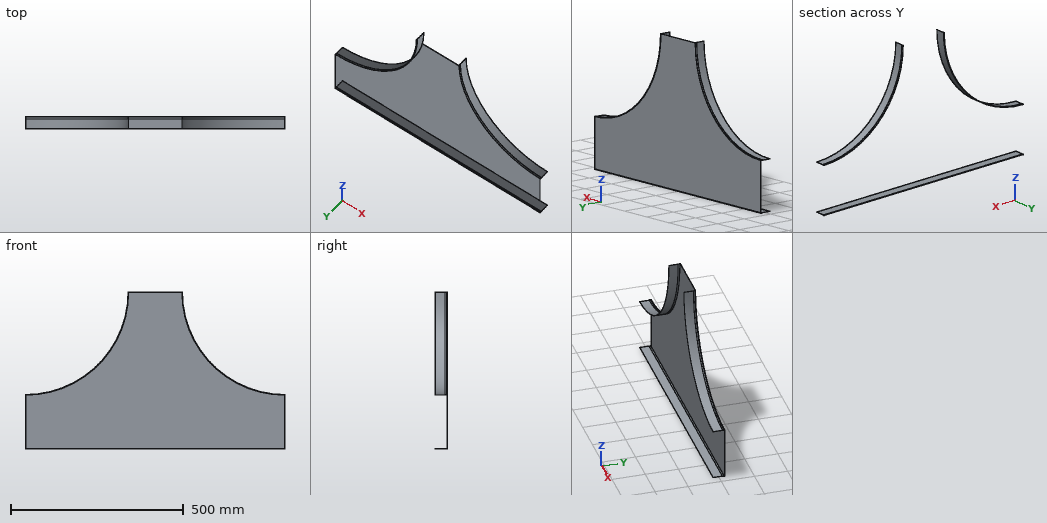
import cadquery as cq

length = 750.0
height = 454.5
depth = 35.0
curve_radius = 296.0
sheet = 1.0
rail_thickness = 1.0
inner_bend = 1.0
lip_depth = 7.0

half_length = length / 2
back_y = depth / 2
plate_front_y = back_y - sheet
outer_bend = inner_bend + sheet
rail_back_y = back_y - outer_bend


def tee_prism(inset, front_y, rear_y):
    """Tee-shaped block whose bottom and curved edges are moved inward by inset."""
    radius = curve_radius + inset
    diagonal = radius * 0.5 ** 0.5
    neck_x = half_length - radius
    shoulder_z = height - radius
    return (
        cq.Workplane("XZ", origin=(0, rear_y, 0))
        .moveTo(-half_length, inset)
        .lineTo(half_length, inset)
        .lineTo(half_length, shoulder_z)
        .threePointArc((half_length - diagonal, height - diagonal), (neck_x, height))
        .lineTo(-neck_x, height)
        .threePointArc((diagonal - half_length, height - diagonal), (-half_length, shoulder_z))
        .close()
        .extrude(rear_y - front_y)
    )


def round_lipped_edges(block, radius):
    """Round the rear bottom edge and both rear curved edges of a tee prism."""
    rear_edges = block.faces(">Y").edges()
    curved_edges = rear_edges.edges("%CIRCLE")
    bottom_edge = rear_edges.edges("<Z")
    return block.newObject(curved_edges.vals() + bottom_edge.vals()).fillet(radius)


def make_plate():
    """Flat tee plate with a short bent lip along its bottom and both curved edges."""
    lip_front_y = back_y - lip_depth
    blank = round_lipped_edges(tee_prism(0, lip_front_y, back_y), outer_bend)
    tray_space = round_lipped_edges(tee_prism(sheet, lip_front_y, plate_front_y), inner_bend)
    return blank.cut(tray_space)


def make_straight_rail():
    """Straight strip lying flat against the inside of the bottom lip."""
    return (
        cq.Workplane("XY", origin=(0, 0, sheet))
        .moveTo(-half_length, -back_y)
        .lineTo(half_length, -back_y)
        .lineTo(half_length, rail_back_y)
        .lineTo(-half_length, rail_back_y)
        .close()
        .extrude(rail_thickness)
    )


def make_curved_rail(side):
    """Quarter-round strip lining a curved lip; side is -1 for left, +1 for right."""
    inner_radius = curve_radius + sheet
    outer_radius = inner_radius + rail_thickness
    ring = (
        cq.Workplane("XZ", origin=(side * half_length, rail_back_y, height))
        .circle(outer_radius)
        .circle(inner_radius)
        .extrude(rail_back_y + back_y)
    )
    quarter = cq.Workplane("XY").box(length, depth, height, centered=(True, True, False))
    return ring.intersect(quarter)


plate = make_plate()
straight_rail = make_straight_rail()
curved_rails = [make_curved_rail(side) for side in (-1, 1)]

result = cq.Compound.makeCompound(
    [plate.val(), straight_rail.val(), *[rail.val() for rail in curved_rails]]
)